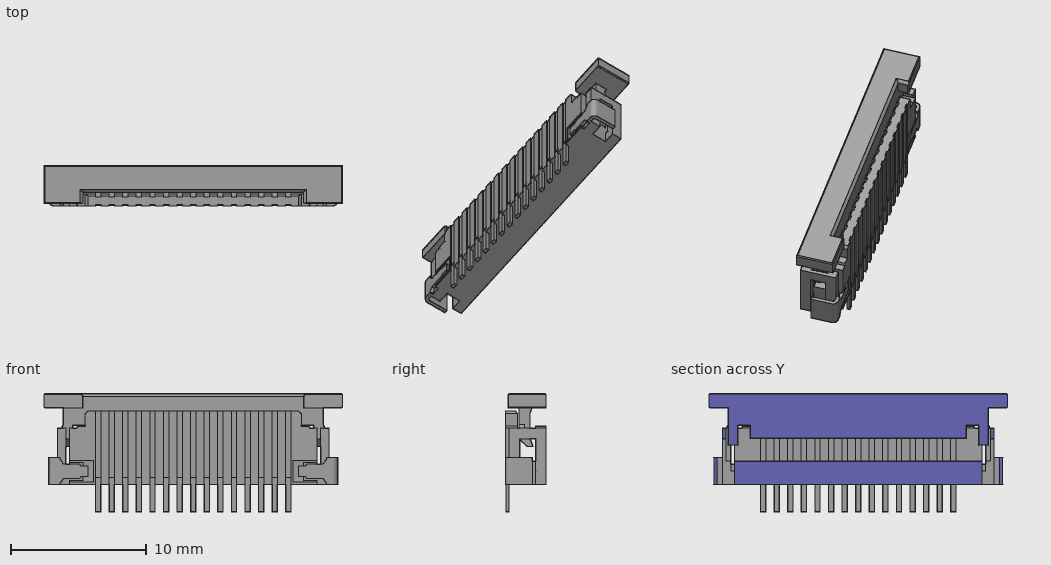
import cadquery as cq


DEPTH = 3.0
TOP_Z = 6.7
CAP_HALF = 11.0

PIN_COUNT = 15
PIN_PITCH = 1.0
PIN_WIDTH = 0.4
PIN_FRONT = 0.03
PIN_BACK = 0.27
PIN_DROP = 2.0
PIN_SHOULDER_Z = 0.53
GROOVE_DEPTH = 0.1
CONTACT_SLOT_DEPTH = 0.24

BODY_HALF = 9.12
BODY_TOP = 4.15
LEDGE_TOP = 4.3
LEDGE_FOOT_HALF = 8.6
LEDGE_TOP_HALF = 8.52
FRONT_WALL_HALF = 7.95
FRONT_WALL_TOP = 5.42
FRONT_WALL_BACK = 0.9
FRONT_WALL_END_CHAMFER = 0.2
FRONT_WALL_BEVEL_Y = 0.16
FRONT_WALL_BEVEL_Z = 0.2

CAVITY_FRONT = 1.0
CAVITY_BACK = 2.22
CAVITY_FLOOR = 1.72
CAVITY_HALF = 9.72

CHEEK_OUTER = 10.0
CHEEK_INNER = 9.38
CHEEK_FRONT = 0.27
CHEEK_SLOT_FLOOR = 1.0
WINDOW_FRONT = 1.07
WINDOW_TOP = 3.37

CAP_THICK = 1.05
CAP_FRONT = 0.2
CAP_CHAMFER = 0.08
RECESS_HALF = 8.1
RECESS_BACK = CAVITY_FRONT
RECESS_CHAMFER_WIDTH = 0.22
RECESS_CHAMFER_HEIGHT = 0.2
RECESS_CORNER_CHAMFER = 0.07
TONGUE_HALF = 9.58
TONGUE_BACK = 1.83
TONGUE_ROOT_FLARE = 0.14
TONGUE_ROOT_HEIGHT = 0.37
TONGUE_END_Z = 3.4
TONGUE_NOTCH_OUTER = 8.86
TONGUE_NOTCH_TOP = 4.36
LATCH_TIP_Z = 2.8
LATCH_BEND_Z = 3.37
LATCH_TIP_FRONT = 1.6
LATCH_TIP_BACK = 2.05
STOP_WIDTH = 0.11
STOP_TOP = 4.43
STOP_BACK = 1.4

CLIP_OUTER = 10.65
CLIP_THICK = CHEEK_FRONT
CLIP_BEND_RADIUS = 0.41
CLIP_HEIGHT = 2.0
CLIP_DEPTH = 1.99
CLIP_MID_Z = 0.98
CLIP_SHOULDER_X = 9.79
CLIP_NECK_X = 9.55
CLIP_BARB_X = 8.38
CLIP_TIP_X = 8.25
CLIP_ARM_END = 7.74
CLIP_NECK_HALF = 0.53
CLIP_TIP_HALF = 0.4
CLIP_SHOULDER_HALF = 0.87

POCKET_EDGE_DEPTH = 0.1
POCKET_FLOOR_DEPTH = 0.14
POCKET_MARGIN = 0.4
POCKET_HALF_HEIGHT = CLIP_TIP_HALF + POCKET_MARGIN
POCKET_END_X = CLIP_ARM_END - POCKET_MARGIN
POCKET_SLOT_HALF = 0.66
POCKET_SLOT_END = 8.12


def box(x0, x1, y0, y1, z0, z1):
    """Block between two opposite corners."""
    return cq.Workplane("XY").box(x1 - x0, y1 - y0, z1 - z0, centered=False).translate((x0, y0, z0))


def extrude_along_y(points, y0, y1):
    """XZ outline extruded from y0 to y1."""
    return cq.Workplane("XZ", origin=(0, y0, 0)).polyline(points).close().extrude(y0 - y1)


def extrude_along_x(points, x0, x1):
    """YZ outline extruded from x0 to x1."""
    return cq.Workplane("YZ", origin=(x0, 0, 0)).polyline(points).close().extrude(x1 - x0)


def both_ends(left_end):
    """A feature at the -X end together with its mirror image at the +X end."""
    return left_end.union(left_end.mirror("YZ"))


def make_front_wall():
    """Tall wall carrying the pins, with chamfered ends and a bevelled rear edge."""
    end_z = FRONT_WALL_TOP - FRONT_WALL_END_CHAMFER
    top_half = FRONT_WALL_HALF - FRONT_WALL_END_CHAMFER
    outline = [
        (-FRONT_WALL_HALF, BODY_TOP),
        (FRONT_WALL_HALF, BODY_TOP),
        (FRONT_WALL_HALF, end_z),
        (top_half, FRONT_WALL_TOP),
        (-top_half, FRONT_WALL_TOP),
        (-FRONT_WALL_HALF, end_z),
    ]
    bevel = [
        (FRONT_WALL_BACK, FRONT_WALL_TOP),
        (FRONT_WALL_BACK - FRONT_WALL_BEVEL_Y, FRONT_WALL_TOP),
        (FRONT_WALL_BACK, FRONT_WALL_TOP - FRONT_WALL_BEVEL_Z),
    ]
    wall = extrude_along_y(outline, 0, FRONT_WALL_BACK)
    return wall.cut(extrude_along_x(bevel, -FRONT_WALL_HALF, FRONT_WALL_HALF))


def make_housing():
    """Body with raised ledges, front wall, end cheeks and the cable cavity."""
    ledge = [
        (-LEDGE_FOOT_HALF, BODY_TOP),
        (LEDGE_FOOT_HALF, BODY_TOP),
        (LEDGE_TOP_HALF, LEDGE_TOP),
        (-LEDGE_TOP_HALF, LEDGE_TOP),
    ]
    body = box(-BODY_HALF, BODY_HALF, 0, DEPTH, 0, BODY_TOP)
    body = body.union(extrude_along_y(ledge, 0, FRONT_WALL_BACK))
    body = body.union(extrude_along_y(ledge, CAVITY_BACK, DEPTH))
    body = body.union(make_front_wall())
    cheek = box(-CHEEK_OUTER, -CHEEK_INNER, CHEEK_FRONT, DEPTH, 0, BODY_TOP)
    bridge = box(-CHEEK_INNER, -BODY_HALF, CHEEK_FRONT, DEPTH, 0, CHEEK_SLOT_FLOOR)
    body = body.union(both_ends(cheek.union(bridge)))
    cavity = box(-CAVITY_HALF, CAVITY_HALF, CAVITY_FRONT, CAVITY_BACK, CAVITY_FLOOR, TOP_Z)
    window = box(-CHEEK_OUTER, -BODY_HALF, WINDOW_FRONT, CAVITY_BACK, 0, WINDOW_TOP)
    return body.cut(cavity).cut(both_ends(window))


def make_clip_pocket():
    """Shallow pocket with a sloped floor and a deeper barb slot, cut into the pin face at the -X end."""
    outer_length = BODY_HALF - POCKET_END_X
    inner_length = BODY_HALF - CLIP_ARM_END
    rim = box(
        -BODY_HALF, -POCKET_END_X, 0, POCKET_EDGE_DEPTH,
        CLIP_MID_Z - POCKET_HALF_HEIGHT, CLIP_MID_Z + POCKET_HALF_HEIGHT,
    )
    sloped_floor = (
        cq.Workplane("XZ", origin=(0, POCKET_EDGE_DEPTH, CLIP_MID_Z))
        .center(-BODY_HALF + outer_length / 2, 0)
        .rect(outer_length, 2 * POCKET_HALF_HEIGHT)
        .workplane(offset=POCKET_EDGE_DEPTH - POCKET_FLOOR_DEPTH)
        .center(-POCKET_MARGIN / 2, 0)
        .rect(inner_length, 2 * CLIP_TIP_HALF)
        .loft()
    )
    slot = box(
        -BODY_HALF, -POCKET_SLOT_END, 0, CLIP_THICK,
        CLIP_MID_Z - POCKET_SLOT_HALF, CLIP_MID_Z + POCKET_SLOT_HALF,
    )
    return rim.union(sloped_floor).union(slot)


def make_clip():
    """Bent sheet clip at the -X end: side plate plus a barbed arm along the pin face."""
    bend = (
        box(-CLIP_OUTER, -CLIP_ARM_END, 0, CLIP_DEPTH, 0, CLIP_HEIGHT)
        .edges("|Z and <X and <Y")
        .fillet(CLIP_BEND_RADIUS)
    )
    inside = (
        box(-CLIP_OUTER + CLIP_THICK, -CLIP_ARM_END, CLIP_THICK, CLIP_DEPTH, 0, CLIP_HEIGHT)
        .edges("|Z and <X and <Y")
        .fillet(CLIP_BEND_RADIUS - CLIP_THICK)
    )
    upper = [
        (-CLIP_OUTER, CLIP_HEIGHT),
        (-CLIP_SHOULDER_X, CLIP_HEIGHT),
        (-CLIP_SHOULDER_X, CLIP_MID_Z + CLIP_SHOULDER_HALF),
        (-CLIP_NECK_X, CLIP_MID_Z + CLIP_NECK_HALF),
        (-CLIP_BARB_X, CLIP_MID_Z + CLIP_NECK_HALF),
        (-CLIP_TIP_X, CLIP_MID_Z + CLIP_TIP_HALF),
        (-CLIP_ARM_END, CLIP_MID_Z + CLIP_TIP_HALF),
    ]
    lower = [
        (-CLIP_ARM_END, CLIP_MID_Z - CLIP_TIP_HALF),
        (-CLIP_TIP_X, CLIP_MID_Z - CLIP_TIP_HALF),
        (-CLIP_BARB_X, CLIP_MID_Z - CLIP_NECK_HALF),
        (-CLIP_NECK_X, CLIP_MID_Z - CLIP_NECK_HALF),
        (-CLIP_SHOULDER_X, CLIP_MID_Z - CLIP_SHOULDER_HALF),
        (-CLIP_SHOULDER_X, 0),
        (-CLIP_OUTER, 0),
    ]
    side_profile = extrude_along_y(upper + lower, 0, CLIP_DEPTH)
    return bend.cut(inside).intersect(side_profile)


def make_cap():
    """Actuator cap with chamfered rim and a front recess whose top edge is bevelled."""
    cap = box(-CAP_HALF, CAP_HALF, CAP_FRONT, DEPTH, TOP_Z - CAP_THICK, TOP_Z)
    cap = cap.faces(">Z").edges().chamfer(CAP_CHAMFER)
    cap = cap.edges("<Z and |Y").chamfer(CAP_CHAMFER)
    recess_depth = RECESS_BACK - CAP_FRONT
    recess = box(-RECESS_HALF, RECESS_HALF, CAP_FRONT, RECESS_BACK, TOP_Z - CAP_THICK, TOP_Z)
    bevel = (
        cq.Workplane("XY", origin=(0, CAP_FRONT, TOP_Z - RECESS_CHAMFER_HEIGHT))
        .rect(2 * RECESS_HALF, 2 * recess_depth)
        .workplane(offset=RECESS_CHAMFER_HEIGHT)
        .rect(2 * (RECESS_HALF + RECESS_CHAMFER_WIDTH), 2 * (recess_depth + RECESS_CHAMFER_WIDTH))
        .loft()
    )
    corner = (
        cq.Workplane("XY", origin=(-RECESS_HALF, CAP_FRONT, TOP_Z - CAP_THICK))
        .polyline([(0, 0), (-RECESS_CORNER_CHAMFER, 0), (0, RECESS_CORNER_CHAMFER)])
        .close()
        .extrude(CAP_THICK)
    )
    return cap.cut(recess).cut(bevel).cut(both_ends(corner))


def make_tongue():
    """Plate under the cap that enters the cavity, with hooked latches at its ends."""
    root_z = TOP_Z - CAP_THICK
    plate_profile = [
        (CAVITY_FRONT, TONGUE_NOTCH_TOP),
        (TONGUE_BACK, TONGUE_NOTCH_TOP),
        (TONGUE_BACK, root_z - TONGUE_ROOT_HEIGHT),
        (TONGUE_BACK + TONGUE_ROOT_FLARE, root_z),
        (CAVITY_FRONT, root_z),
    ]
    latch_profile = [
        (CAVITY_FRONT, TONGUE_NOTCH_TOP),
        (CAVITY_FRONT, LATCH_BEND_Z),
        (LATCH_TIP_FRONT, LATCH_TIP_Z),
        (LATCH_TIP_BACK, LATCH_TIP_Z),
        (TONGUE_BACK, LATCH_BEND_Z),
        (TONGUE_BACK, TONGUE_NOTCH_TOP),
    ]
    stop_profile = [
        (-TONGUE_HALF, BODY_TOP),
        (-TONGUE_HALF - STOP_WIDTH, BODY_TOP),
        (-TONGUE_HALF, STOP_TOP),
    ]
    plate = extrude_along_x(plate_profile, -TONGUE_HALF, TONGUE_HALF)
    blade = box(
        -FRONT_WALL_HALF, FRONT_WALL_HALF, CAVITY_FRONT, TONGUE_BACK, TONGUE_END_Z, TONGUE_NOTCH_TOP
    )
    latch = extrude_along_x(latch_profile, -TONGUE_HALF, -TONGUE_NOTCH_OUTER)
    stop = extrude_along_y(stop_profile, CAVITY_FRONT, STOP_BACK)
    return plate.union(blade).union(both_ends(latch.union(stop)))


def add_pins(housing):
    """Cut the pin grooves and contact slots into the housing and add the solder pins."""
    first_x = -PIN_PITCH * (PIN_COUNT - 1) / 2
    half = PIN_WIDTH / 2
    slot_front = FRONT_WALL_BACK - CONTACT_SLOT_DEPTH
    for index in range(PIN_COUNT):
        x = first_x + index * PIN_PITCH
        groove = box(x - half, x + half, 0, GROOVE_DEPTH, 0, FRONT_WALL_TOP)
        contact_slot = box(x - half, x + half, slot_front, CAVITY_FRONT, CAVITY_FLOOR, FRONT_WALL_TOP)
        pin = box(x - half, x + half, PIN_FRONT, PIN_BACK, -PIN_DROP, PIN_SHOULDER_Z)
        housing = housing.cut(groove).cut(contact_slot).union(pin)
    return housing


housing = add_pins(make_housing()).cut(both_ends(make_clip_pocket()))
actuator = make_cap().union(make_tongue())
result = housing.union(both_ends(make_clip())).union(actuator)